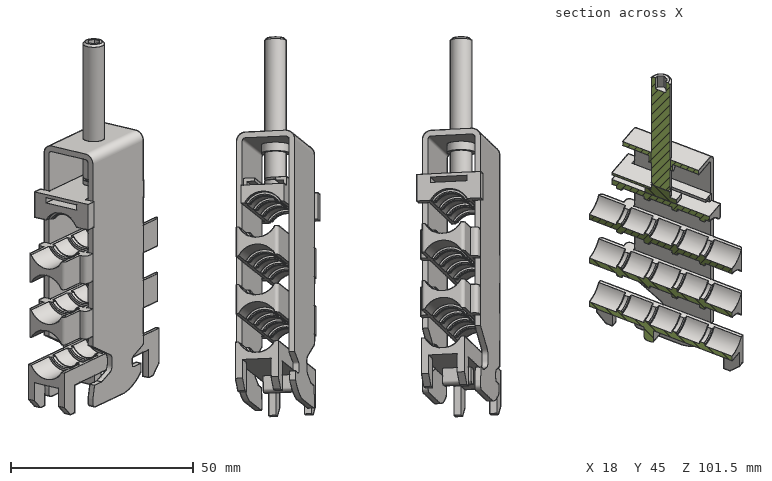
import cadquery as cq
import math

total_height = 101.5
base_height = 13.0
level_height = 8.0
saddle_count = 2
saddle_pitch = 2 * level_height
first_saddle_z = base_height + level_height
cap_bottom = first_saddle_z + saddle_count * saddle_pitch
cap_height = 7.4
cap_top = cap_bottom + cap_height

housing_width = 16.3
housing_depth = 24.0
housing_top = 73.5
sheet = 1.6
bend_radius = 2.5
housing_front = -housing_depth / 2
collar_radius = 3.9
collar_height = 2.3

neck_front = -2.8
neck_back = 6.8
front_slope_top = 18.1
front_slope_bottom = 12.8
front_lip_shoulder = 8.6
front_lip_start = -7.8
front_lip_end = -11.2
back_slope_top = 11.8
back_slope_bottom = 9.5
hook_bottom = 0.2
hook_top = 6.6
hook_nose_z = 2.7
hook_nose_radius = 1.2
hook_back = 10.9
hook_arc_top = 4.1
hook_arc_middle = (7.5, 1.6)
hook_arc_foot = 2.9
neck_front_upper_radius = 2.0
neck_front_lower_radius = 2.0
neck_back_radius = 0.7

saddle_width = 12.1
saddle_length = 45.0
saddle_corner = 1.0
tab_front = -15.1
tab_width = housing_width
tab_radius = 1.2

channel_width = 10.2
channel_depth = 3.0
channel_radius = ((channel_width / 2) ** 2 + channel_depth ** 2) / (2 * channel_depth)
axis_offset = channel_radius - channel_depth
rib_spacing = 8.7
rib_count = 4
rib_positions = [(i - (rib_count - 1) / 2) * rib_spacing for i in range(rib_count)]
rib_width = 1.8
rib_step = 0.6
rib_bevel = 0.3

foot_length = 5.0
foot_width = 2.0
foot_height = 8.1
foot_chamfer = 2.9
lug_bottom = 3.7
lug_front = -5.3
lug_length = 3.0
lug_rounding = 0.8

flange_width = 18.0
cap_length = 30.8
flange_back = -12.5
lip_back = -flange_back
slot_width = 10.3
slot_bottom = 58.1
slot_top = 59.6

screw_radius = 2.99
screw_bottom = 61.7
screw_chamfer = 0.6
socket_flats = 3.0
socket_depth = 4.1
thrust_head_flats = 9.9


def box(width, y_range, z_range):
    """Block centred on X between two Y and two Z values."""
    y_min, y_max = y_range
    z_min, z_max = z_range
    block = cq.Workplane("XY").box(width, y_max - y_min, z_max - z_min, centered=(True, False, False))
    return block.translate((0, y_min, z_min))


def cylinder(radius, z_range):
    z_min, z_max = z_range
    return cq.Workplane("XY").workplane(offset=z_min).circle(radius).extrude(z_max - z_min)


def hexagon(flats, z_range):
    """Hexagonal prism with two of its flats facing -Y and +Y."""
    z_min, z_max = z_range
    across_corners = flats / math.cos(math.pi / 6)
    return cq.Workplane("XY").workplane(offset=z_min).polygon(6, across_corners).extrude(z_max - z_min)


def channel(axis_z):
    """Cutter for a cable channel along Y; the ribs are the necks in the cutter."""
    end = saddle_length / 2
    shoulder_radius = channel_radius - rib_step
    crest_radius = shoulder_radius - rib_bevel
    points = [(0, -end), (channel_radius, -end)]
    for y in rib_positions:
        rib_start = y - rib_width / 2
        rib_end = y + rib_width / 2
        points += [
            (channel_radius, rib_start),
            (shoulder_radius, rib_start),
            (crest_radius, rib_start + rib_bevel),
            (crest_radius, rib_end - rib_bevel),
            (shoulder_radius, rib_end),
            (channel_radius, rib_end),
        ]
    points += [(channel_radius, end), (0, end)]
    cutter = cq.Workplane("XY").polyline(points).close().revolve(360, (0, 0, 0), (0, 1, 0))
    return cutter.translate((0, 0, axis_z))


def housing_side():
    """Side outline of both legs, with the rail hook, as a block along X."""
    back = housing_depth / 2
    outline = (
        cq.Workplane("YZ")
        .moveTo(back, housing_top)
        .lineTo(housing_front, housing_top)
        .lineTo(housing_front, front_slope_top)
        .lineTo(neck_front, front_slope_bottom)
        .lineTo(neck_front, front_lip_shoulder)
        .lineTo(front_lip_start, hook_top)
        .lineTo(front_lip_end, hook_top)
        .lineTo(housing_front, hook_nose_z)
        .lineTo(housing_front, hook_bottom)
        .lineTo(hook_arc_foot, hook_bottom)
        .threePointArc(hook_arc_middle, (hook_back, hook_arc_top))
        .lineTo(hook_back, hook_top)
        .lineTo(neck_back, hook_top)
        .lineTo(neck_back, back_slope_bottom)
        .lineTo(back, back_slope_top)
        .close()
    )
    side = outline.extrude(housing_width / 2, both=True)
    rounded_corners = [
        (neck_front, front_slope_bottom, neck_front_upper_radius),
        (neck_front, front_lip_shoulder, neck_front_lower_radius),
        (housing_front, hook_bottom, hook_nose_radius),
        (neck_back, hook_top, neck_back_radius),
        (neck_back, back_slope_bottom, neck_back_radius),
    ]
    for y, z, radius in rounded_corners:
        side = side.edges(cq.selectors.NearestToPointSelector((0, y, z))).fillet(radius)
    return side


def make_housing():
    y_range = (housing_front, -housing_front)
    outside = box(housing_width, y_range, (0, housing_top)).edges("|Y and >Z").fillet(bend_radius)
    inside = box(housing_width - 2 * sheet, y_range, (0, housing_top - sheet))
    inside = inside.edges("|Y and >Z").fillet(bend_radius - sheet)
    collar = cylinder(collar_radius, (housing_top - sheet - collar_height, housing_top - sheet))
    screw_hole = cylinder(screw_radius, (0, housing_top))
    return outside.cut(inside).intersect(housing_side()).union(collar).cut(screw_hole)


def make_saddle(bottom):
    """Saddle with a channel above and below, and tabs that stop against the housing front."""
    top = bottom + level_height
    z_range = (bottom, top)
    end = saddle_length / 2
    body = box(saddle_width, (-end, end), z_range).edges("|Z").fillet(saddle_corner)
    tabs = box(tab_width, (tab_front, housing_front), z_range).edges("|Z and <Y").fillet(tab_radius)
    saddle = body.union(tabs)
    return saddle.cut(channel(top + axis_offset)).cut(channel(bottom - axis_offset))


def make_base():
    """Lowest level: one channel on top, four feet and a locating lug underneath."""
    end = saddle_length / 2
    block = box(saddle_width, (-end, end), (0, base_height))
    block = block.edges("|X and <Z").chamfer(foot_chamfer)
    between_ends = box(saddle_width, (foot_length - end, end - foot_length), (0, foot_height))
    feet_gap = saddle_width - 2 * foot_width
    between_feet = box(feet_gap, (-end, end), (0, foot_height))
    lug = box(feet_gap, (lug_front, lug_front + lug_length), (lug_bottom, foot_height))
    lug = lug.edges("|X and <Z").fillet(lug_rounding)
    return block.cut(between_ends).cut(between_feet).union(lug).cut(channel(base_height + axis_offset))


def make_cap():
    """Top level: front flange, channel underneath, and a T-slot for the thrust foot."""
    end = cap_length / 2
    flange = box(flange_width, (-end, flange_back), (cap_bottom, cap_top))
    body = box(saddle_width, (flange_back, lip_back), (cap_bottom, cap_top))
    shelf = box(saddle_width, (lip_back, end), (cap_bottom, slot_bottom))
    head_slot = box(slot_width, (-end, end), (slot_bottom, slot_top))
    neck_slot = box(2 * screw_radius, (0, end), (slot_top, cap_top))
    neck_end = cylinder(screw_radius, (slot_top, cap_top))
    cap = flange.union(body).union(shelf)
    return cap.cut(head_slot).cut(neck_slot).cut(neck_end).cut(channel(cap_bottom - axis_offset))


def make_thrust_foot():
    """Round stud below the screw; its hexagonal head is trimmed to the slot width."""
    half_flats = thrust_head_flats / 2
    head = hexagon(thrust_head_flats, (slot_bottom, slot_top))
    head = head.intersect(box(slot_width, (-half_flats, half_flats), (slot_bottom, slot_top)))
    return head.union(cylinder(screw_radius, (slot_top, screw_bottom)))


def make_screw():
    shank = cylinder(screw_radius, (screw_bottom, total_height))
    shank = shank.faces("<Z or >Z").edges().chamfer(screw_chamfer)
    return shank.cut(hexagon(socket_flats, (total_height - socket_depth, total_height)))


housing = make_housing()
saddles = [make_saddle(first_saddle_z + i * saddle_pitch) for i in range(saddle_count)]
base = make_base()
cap = make_cap()
thrust_foot = make_thrust_foot()
screw = make_screw()

result = cq.Compound.makeCompound([
    housing.val(),
    *[saddle.val() for saddle in saddles],
    base.val(),
    cap.val(),
    thrust_foot.val(),
    screw.val(),
])